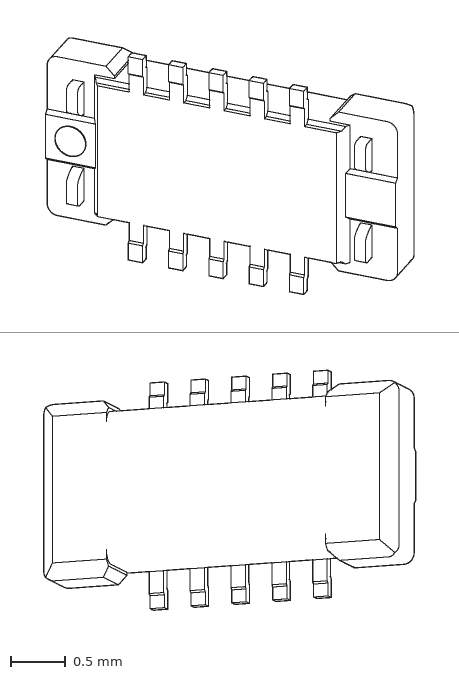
import cadquery as cq


length = 3.47
depth = 0.68
lead_span = 2.1

block_front = 0.15
block_height = 1.64
block_inner_x = 1.07
block_corner_radius = 0.105
inner_bevel = 0.085
back_chamfer = 0.14

body_height = 1.42
body_back_radius = 0.115

plate_front = 0.02
plate_back_half_length = 1.265
plate_front_half_length = 1.185
plate_bevel_depth = 0.038
plate_bevel_height = 0.035

pad_front = 0.108
pad_front_height = 0.45
pad_back_height = 0.52
pad_overlap = 0.055
marker_diameter = 0.305
marker_x = -1.485
marker_height = 0.01

lead_count = 5
lead_pitch = 0.4
lead_width = 0.142
lead_back = pad_front
tip_back = 0.087
front_step_z = 0.857
back_step_z = 0.913
step_run = 0.017

clip_x = 1.425
clip_width = 0.11
clip_outer_z = 0.615
clip_inner_z = 0.275
clip_tip_inner_z = 0.357
clip_slope_back = 0.108
clip_outer_radius = 0.05
clip_inner_radius = 0.062
clip_root_radius = 0.243

overlap = 0.07

half_length = length / 2
half_body = body_height / 2


def extrude_along_x(points, x_center, width):
    """Prism with a (Y, Z) outline, centred on x_center."""
    return (
        cq.Workplane("YZ", origin=(x_center - width / 2, 0, 0))
        .polyline(points).close().extrude(width)
    )


def both_ends(feature):
    """The feature together with its mirror image in X."""
    return feature.union(feature.mirror("YZ"))


def both_sides(feature):
    """The feature together with its mirror image in Z."""
    return feature.union(feature.mirror("XY"))


def end_block():
    """Left block: rounded outside, bevelled inside, chamfered on its outer back edges."""
    width = half_length - block_inner_x
    block = cq.Workplane("XY").box(width, depth - block_front, block_height)
    block = block.translate((-half_length + width / 2, (depth + block_front) / 2, 0))
    block = block.faces(">Y").edges("<X or >Z or <Z").chamfer(back_chamfer)

    outline = (
        cq.Workplane("XY").box(width, depth, block_height)
        .edges("|Y and <X").fillet(block_corner_radius)
        .edges("|Y and >X").chamfer(inner_bevel)
        .translate((-half_length + width / 2, depth / 2, 0))
    )
    return block.intersect(outline)


def centre_body():
    """Bar joining the end blocks, rounded along its back edges."""
    body_length = 2 * (block_inner_x + inner_bevel)
    body = cq.Workplane("XY").box(body_length, depth - block_front, body_height)
    body = body.edges("|X and >Y").fillet(body_back_radius)
    return body.translate((0, (depth + block_front) / 2, 0))


def base_plate():
    """Plate with sloping ends and a bevel along each long edge."""
    taper = cq.Workplane("XY").polyline([
        (-plate_back_half_length, block_front),
        (-plate_front_half_length, plate_front),
        (plate_front_half_length, plate_front),
        (plate_back_half_length, block_front),
    ]).close().extrude(half_body, both=True)

    front_half = half_body - plate_bevel_height
    section = [
        (block_front, -half_body),
        (pad_front, -half_body),
        (pad_front - plate_bevel_depth, -front_half),
        (plate_front, -front_half),
        (plate_front, front_half),
        (pad_front - plate_bevel_depth, front_half),
        (pad_front, half_body),
        (block_front, half_body),
    ]
    return taper.intersect(extrude_along_x(section, 0, length))


def pad():
    """Raised strip on the left block, reaching into the base plate."""
    section = [
        (block_front + overlap, -pad_back_height / 2),
        (block_front, -pad_back_height / 2),
        (pad_front, -pad_front_height / 2),
        (pad_front, pad_front_height / 2),
        (block_front, pad_back_height / 2),
        (block_front + overlap, pad_back_height / 2),
    ]
    width = half_length - plate_back_half_length + pad_overlap
    return extrude_along_x(section, -half_length + width / 2, width)


def marker():
    """Low round disc on the left pad."""
    return (
        cq.Workplane("XZ", origin=(marker_x, pad_front + overlap, 0))
        .circle(marker_diameter / 2).extrude(overlap + marker_height)
    )


def lead(x_center):
    """Upper lead: leaves flush with the plate, then steps forward at its tip."""
    tip_z = lead_span / 2
    root_z = half_body - plate_bevel_height - overlap
    return extrude_along_x([
        (plate_front, root_z),
        (plate_front, front_step_z),
        (0, front_step_z + step_run),
        (0, tip_z),
        (tip_back, tip_z),
        (tip_back, back_step_z + step_run),
        (lead_back, back_step_z),
        (lead_back, root_z),
    ], x_center, lead_width)


def clip():
    """Upper left clip: rounded nose, with a slope that curves into the root."""
    body = extrude_along_x([
        (block_front + overlap, clip_outer_z),
        (0, clip_outer_z),
        (0, clip_tip_inner_z),
        (clip_slope_back, clip_inner_z),
        (block_front + overlap, clip_inner_z),
    ], -clip_x, clip_width)
    body = body.edges("|X and <Z").edges("<Y").fillet(clip_root_radius)
    body = body.faces("<Y").edges("|X").edges(">Z").fillet(clip_outer_radius)
    return body.faces("<Y").edges("|X").edges("<Z").fillet(clip_inner_radius)


result = centre_body().union(both_ends(end_block()))
result = result.union(base_plate())
result = result.union(both_ends(pad()))
result = result.union(marker())
for index in range(lead_count):
    lead_x = (index - (lead_count - 1) / 2) * lead_pitch
    result = result.union(both_sides(lead(lead_x)))
result = result.union(both_ends(both_sides(clip())))